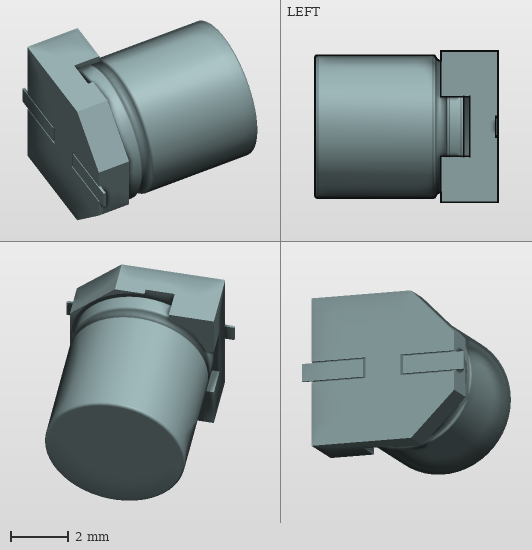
import cadquery as cq
import math


total_height = 6.42
base_width = 5.3
lead_span = 6.0

plate_height = 1.2
post_height = 2.0
post_size = 1.605
recess_floor = 1.0
seat_radius = 2.6
gap_end_x = -0.01

lead_thickness = 0.09
lead_width = 0.635
lead_inner_x = 0.745
slot_width = 0.74
slot_inner_x = 0.65

can_radius = 2.505
edge_radius = 0.1
groove_radius = 0.2
groove_height = post_height

half_width = base_width / 2


def box(x_range, y_range, z_range):
    """Box given by its lower and upper limits along each axis."""
    limits = (x_range, y_range, z_range)
    lengths = [high - low for low, high in limits]
    corner = tuple(low for low, high in limits)
    return cq.Workplane("XY").box(*lengths, centered=False).translate(corner)


def make_plate():
    """Square plate with both corners on the +X side cut off."""
    return (
        box((-half_width, half_width), (0, plate_height), (-half_width, half_width))
        .edges("|Y and >X")
        .chamfer(post_size)
    )


def make_base():
    base = make_plate()

    post_inner = half_width - post_size
    for side in (-1, 1):
        z_range = sorted((side * post_inner, side * half_width))
        base = base.union(box((-half_width, -post_inner), (0, post_height), z_range))

    floor_to_top = (recess_floor, post_height)
    base = base.cut(box((-half_width, -post_inner), floor_to_top, (-post_inner, post_inner)))
    base = base.cut(box((-post_inner, gap_end_x), floor_to_top, (-half_width, half_width)))

    seat = (
        cq.Workplane("XZ", origin=(0, recess_floor, 0))
        .circle(seat_radius)
        .extrude(recess_floor - post_height)
    )
    base = base.cut(seat)

    for side in (-1, 1):
        slot_x = sorted((side * slot_inner_x, side * half_width))
        lead_x = sorted((side * lead_inner_x, side * lead_span / 2))
        thickness = (0, lead_thickness)
        base = base.cut(box(slot_x, thickness, (-slot_width / 2, slot_width / 2)))
        base = base.union(box(lead_x, thickness, (-lead_width / 2, lead_width / 2)))
    return base


def make_can():
    """Turned can with rounded rims and a round groove blended into its wall."""
    arc_middle = edge_radius * (1 - math.sqrt(0.5))

    centre_distance = groove_radius + edge_radius
    blend_angle = math.acos(edge_radius / centre_distance)
    blend_height = centre_distance * math.sin(blend_angle)
    joint_inset = groove_radius * math.cos(blend_angle)
    joint_height = groove_radius * math.sin(blend_angle)
    middle_inset = edge_radius * (1 - math.cos(blend_angle / 2))
    middle_height = blend_height - edge_radius * math.sin(blend_angle / 2)

    profile = (
        cq.Workplane("XY")
        .moveTo(0, plate_height)
        .lineTo(can_radius - edge_radius, plate_height)
        .threePointArc(
            (can_radius - arc_middle, plate_height + arc_middle),
            (can_radius, plate_height + edge_radius),
        )
        .lineTo(can_radius, groove_height - blend_height)
        .threePointArc(
            (can_radius - middle_inset, groove_height - middle_height),
            (can_radius - joint_inset, groove_height - joint_height),
        )
        .threePointArc(
            (can_radius - groove_radius, groove_height),
            (can_radius - joint_inset, groove_height + joint_height),
        )
        .threePointArc(
            (can_radius - middle_inset, groove_height + middle_height),
            (can_radius, groove_height + blend_height),
        )
        .lineTo(can_radius, total_height - edge_radius)
        .threePointArc(
            (can_radius - arc_middle, total_height - arc_middle),
            (can_radius - edge_radius, total_height),
        )
        .lineTo(0, total_height)
        .close()
    )
    return profile.revolve(360, (0, 0, 0), (0, 1, 0))


base = make_base()
can = make_can()

result = cq.Compound.makeCompound([base.val(), can.val()])